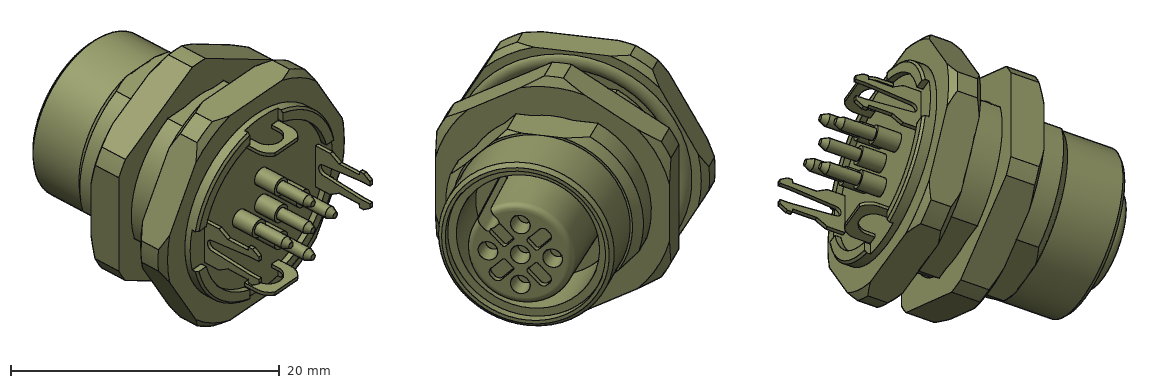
import cadquery as cq
import math


shell_front = 1.5
barrel_front = 6.52
nut_front = 9.54
nut_rear = 12.3
flange_front = 15.3
flange_rear = 17.97
rear_floor = 18.5
rim_rear = 19.0
collar_rear = 20.45
pin_rear = 23.64
clip_rear = 23.9

shell_radius = 6.752
shell_chamfer = 0.3
counterbore_radius = 6.155
counterbore_depth = 0.75
gap_radius = 5.5
gap_floor = 8.0
insert_radius = 4.09
insert_fillet = 0.5
insert_root_radius = 4.25

contact_pitch = 2.49
socket_mouth_diameter = 1.5
socket_floor_diameter = 1.15
socket_depth = 1.5
collar_diameter = 1.5
pin_diameter = 1.0
pin_tip_diameter = 0.5
pin_tip_length = 0.55

pocket_angles = (45, 135, 225, 315)
pocket_inner = 1.2
pocket_outer = 3.05
pocket_width = 1.15
pocket_depth = 0.5
pocket_inner_corner_radius = 0.2
pocket_outer_corner_radius = 0.43
key_angle = 45
key_width = 1.39
key_bottom = 2.72
key_corner_radius = 0.48

barrel_radius = 7.6
barrel_chamfer_radius = 6.93
flat_distance = shell_radius
flat_tilts = (0, -45)
nut_across_flats = 18.0
nut_corner_radius = 10.0
nut_bore_radius = 6.93
nut_chamfer_radial = 0.7
nut_chamfer_axial = 0.4

flange_across_flats = 19.0
flange_corner_radius = 10.45
flange_chamfer = 0.5
seal_radius = 8.63
seal_section_radius = 0.76
seal_projection = 0.29

rim_radius = 7.995
rim_chamfer = 0.2
cup_radius = 7.0
notch_width = 3.7

clip_thickness = 0.3
clip_half_width = 1.91
prong_clip_inner = 6.1
loop_clip_inner = 6.3
loop_clip_rear = 20.98


def cylinder(radius, x_start, x_end, y=0, z=0):
    disc = cq.Workplane("YZ", origin=(x_start, y, z)).circle(radius)
    return disc.extrude(x_end - x_start)


def turned(points):
    """Revolve an outline of (x, radius) points about the X axis."""
    return cq.Workplane("XY").polyline(points).close().revolve(360, (0, 0), (1, 0))


def about_axis(shape, angle):
    return shape.rotate((0, 0, 0), (1, 0, 0), angle)


def hexagon(across_flats, x_start, x_end):
    """Hexagonal prism with two flats square to Y."""
    corner_circle = across_flats / math.cos(math.radians(30))
    prism = cq.Workplane("YZ", origin=(x_start, 0, 0)).polygon(6, corner_circle)
    return about_axis(prism.extrude(x_end - x_start), 30)


def barrel_blank(x_start, x_end):
    """Round bar with the four flats of the threaded barrel."""
    length = x_end - x_start
    bar = cylinder(barrel_radius, x_start, x_end)
    for tilt in flat_tilts:
        slab = cq.Workplane("XY").box(length, 4 * barrel_radius, 2 * flat_distance)
        slab = slab.translate((x_start + length / 2, 0, 0))
        bar = bar.intersect(about_axis(slab, tilt))
    return bar


def contact_places():
    places = [(0, 0)]
    for side in (-contact_pitch, contact_pitch):
        places.append((side, 0))
        places.append((0, side))
    return places


def make_shell():
    """Mating shell and threaded barrel, bored for the ring-shaped gap."""
    shell = cylinder(shell_radius, shell_front, barrel_front)
    shell = shell.faces("<X").chamfer(shell_chamfer)
    lead_in = barrel_radius - barrel_chamfer_radius
    envelope = turned([
        (barrel_front, 0),
        (barrel_front, barrel_chamfer_radius),
        (barrel_front + lead_in, barrel_radius),
        (flange_front, barrel_radius),
        (flange_front, 0),
    ])
    barrel = barrel_blank(barrel_front, flange_front).intersect(envelope)
    counterbore = cylinder(counterbore_radius, shell_front, shell_front + counterbore_depth)
    gap = cylinder(gap_radius, shell_front, gap_floor)
    return shell.union(barrel).cut(counterbore).cut(gap)


def radial_slot(inner_end, outer_end, width, depth):
    """Square-ended cutter into the mating face, lying along +Y."""
    slot = cq.Workplane("YZ").center((inner_end + outer_end) / 2, 0)
    return slot.rect(outer_end - inner_end, width).extrude(depth)


def make_pocket():
    """Cutter for one shallow pocket, pointing along +Y."""
    pocket = radial_slot(pocket_inner, pocket_outer, pocket_width, pocket_depth)
    pocket = pocket.edges("|X and <Y").fillet(pocket_inner_corner_radius)
    return pocket.edges("|X and >Y").fillet(pocket_outer_corner_radius)


def make_key_groove():
    """Cutter for the groove along the side of the insert, pointing along +Y."""
    groove = radial_slot(key_bottom, gap_radius, key_width, gap_floor)
    return groove.edges("|X and <Y").fillet(key_corner_radius)


def make_socket(y, z):
    """Cutter for one tapered contact hole."""
    mouth = cq.Workplane("YZ", origin=(0, y, z)).circle(socket_mouth_diameter / 2)
    floor = mouth.workplane(offset=socket_depth).circle(socket_floor_diameter / 2)
    return floor.loft(ruled=True)


def make_insert():
    """Slightly tapered contact insert with a rounded front edge."""
    insert = turned([
        (0, 0),
        (0, insert_radius),
        (gap_floor, insert_root_radius),
        (gap_floor, 0),
    ])
    insert = insert.faces("<X").edges().fillet(insert_fillet)
    for angle in pocket_angles:
        insert = insert.cut(about_axis(make_pocket(), angle))
    insert = insert.cut(about_axis(make_key_groove(), key_angle))
    for y, z in contact_places():
        insert = insert.cut(make_socket(y, z))
    return insert


def make_flange():
    """Hexagonal flange, flats square to Z, with corners turned down and chamfered."""
    turning = cylinder(flange_corner_radius, flange_front, flange_rear)
    turning = turning.faces("<X or >X").chamfer(flange_chamfer)
    prism = about_axis(hexagon(flange_across_flats, flange_front, flange_rear), 90)
    return prism.intersect(turning)


def make_seal():
    centre_x = flange_front - seal_projection + seal_section_radius
    section = cq.Workplane("XY").center(centre_x, seal_radius).circle(seal_section_radius)
    return section.revolve(360, (0, -seal_radius), (1, -seal_radius))


def make_rear_rim():
    """Cup behind the flange, open to the outside at four notches."""
    rim = cylinder(rim_radius, flange_rear, rim_rear).faces(">X").chamfer(rim_chamfer)
    rim = rim.cut(cylinder(cup_radius, rear_floor, rim_rear))
    notch_size = (rim_rear - rear_floor, 2 * rim_radius, notch_width)
    notch = cq.Workplane("XY").box(*notch_size).translate(((rear_floor + rim_rear) / 2, 0, 0))
    for angle in (0, 90):
        rim = rim.cut(about_axis(notch, angle))
    return rim


def make_pin(y, z):
    """Collar and solder pin with a conical tip."""
    collar = cylinder(collar_diameter / 2, rear_floor, collar_rear, y, z)
    pin = turned([
        (collar_rear, 0),
        (collar_rear, pin_diameter / 2),
        (pin_rear - pin_tip_length, pin_diameter / 2),
        (pin_rear, pin_tip_diameter / 2),
        (pin_rear, 0),
    ])
    return collar.union(pin.translate((0, y, z)))


def make_prong_clip():
    """Clip on the +Y side: two barbed prongs either side of a flared slot."""
    shoulder = (19.95, clip_half_width)
    neck_start = (20.85, 1.36)
    barb_foot = (22.82, 1.36)
    barb_heel = (22.87, 1.67)
    barb_crest = (23.28, 1.67)
    tip_outer = (clip_rear, 1.25)
    tip_inner = (clip_rear, 0.84)
    flare_end = (23.06, 0.84)
    slot_start = (19.22, 0.48)
    slot_bottom = 18.8
    upper = [shoulder, neck_start, barb_foot, barb_heel, barb_crest, tip_outer, tip_inner, flare_end, slot_start]
    lower = [(x, -z) for x, z in reversed(upper)]

    outline = cq.Workplane("XZ").moveTo(rear_floor, clip_half_width)
    for point in upper:
        outline = outline.lineTo(*point)
    outline = outline.threePointArc((slot_bottom, 0), lower[0])
    for point in lower[1:]:
        outline = outline.lineTo(*point)
    outline = outline.lineTo(rear_floor, -clip_half_width).close()
    return outline.extrude(-clip_thickness).translate((0, prong_clip_inner, 0))


def make_loop_clip():
    """Clip on the +Z side: a flat loop with rounded shoulders."""
    shoulder_start = 19.72
    shoulder_middle = (20.58, 1.67)
    end_half_width = 1.27
    opening_radius = 1.15
    opening_end = 20.35
    opening_centre = opening_end - opening_radius
    outline = (
        cq.Workplane("XY")
        .moveTo(rear_floor, clip_half_width)
        .lineTo(shoulder_start, clip_half_width)
        .threePointArc(shoulder_middle, (loop_clip_rear, end_half_width))
        .lineTo(loop_clip_rear, -end_half_width)
        .threePointArc((shoulder_middle[0], -shoulder_middle[1]), (shoulder_start, -clip_half_width))
        .lineTo(rear_floor, -clip_half_width)
        .lineTo(rear_floor, -opening_radius)
        .lineTo(opening_centre, -opening_radius)
        .threePointArc((opening_end, 0), (opening_centre, opening_radius))
        .lineTo(rear_floor, opening_radius)
        .close()
    )
    return outline.extrude(clip_thickness).translate((0, 0, loop_clip_inner))


def make_connector():
    connector = make_shell().union(make_insert())
    connector = connector.union(make_flange()).union(make_seal()).union(make_rear_rim())
    for y, z in contact_places():
        connector = connector.union(make_pin(y, z))
    for angle in (0, 180):
        connector = connector.union(about_axis(make_prong_clip(), angle))
        connector = connector.union(about_axis(make_loop_clip(), angle))
    return connector


def make_nut():
    """Hexagonal nut chamfered at the front; its bore fits around the barrel crests and clears the flats."""
    turning = turned([
        (nut_front, 0),
        (nut_front, nut_corner_radius - nut_chamfer_radial),
        (nut_front + nut_chamfer_axial, nut_corner_radius),
        (nut_rear, nut_corner_radius),
        (nut_rear, 0),
    ])
    nut = hexagon(nut_across_flats, nut_front, nut_rear).intersect(turning)
    bore = cylinder(nut_bore_radius, nut_front, nut_rear)
    return nut.cut(bore).cut(barrel_blank(nut_front, nut_rear))


connector = make_connector()
nut = make_nut()
result = cq.Compound.makeCompound([connector.solids().val(), nut.solids().val()])